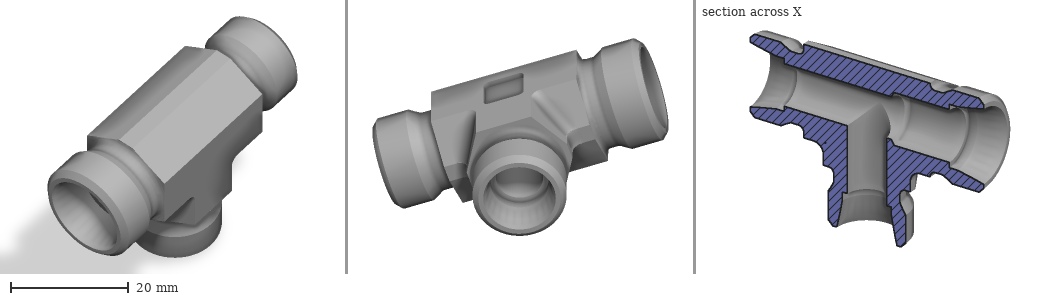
import cadquery as cq
import math

BODY_WIDTH = 17.0
BODY_HEIGHT = 17.9
HEX_ANGLE = 30
BODY_REACH = 13.0
CROTCH_RADIUS = 2.0

PORT_REACH = 24.0
ROOT_RADIUS = 1.0
TIP_CHAMFER = 1.0
COLLAR_LENGTH = 5.4
SHOULDER_ANGLE = 30

LARGE_COLLAR, LARGE_NECK = 18.0, 15.7
SMALL_COLLAR, SMALL_NECK = 16.0, 13.7

MOUTH_ANGLE = 12
SOCKET_DEPTH = 7.0
LARGE_MOUTH, LARGE_TUBE, LARGE_BORE = 14.3, 12.0, 10.0
SMALL_MOUTH, SMALL_TUBE, SMALL_BORE = 12.3, 10.0, 8.0
BORE_WALL_GAP = 1.0
DRILL_SLOPE = 31

RECESS_SIZE = 7.2
RECESS_CORNER = 1.0
RECESS_DEPTH = 1.0
RECESS_Z = -1.0


def hexagon_bar(start, length):
    """Truncated hexagonal bar along Z, flats facing X and truncated corners facing Y."""
    half_width = BODY_WIDTH / 2
    half_height = BODY_HEIGHT / 2
    slope = math.tan(math.radians(HEX_ANGLE))
    side_corner = half_width * slope
    top_corner = (2 * side_corner - half_height) / slope
    outline = [
        (half_width, side_corner),
        (top_corner, half_height),
        (-top_corner, half_height),
        (-half_width, side_corner),
        (-half_width, -side_corner),
        (-top_corner, -half_height),
        (top_corner, -half_height),
        (half_width, -side_corner),
    ]
    return cq.Workplane("XY").workplane(offset=start).polyline(outline).close().extrude(length)


def toward_front(shape):
    """Turn a shape built along +Z so that it points along -Y."""
    return shape.rotate((0, 0, 0), (1, 0, 0), 90)


def toward_back(shape):
    """Turn a shape built along +Z so that it points along +Y."""
    return shape.rotate((0, 0, 0), (1, 0, 0), -90)


def downward(shape):
    """Turn a shape built along +Z so that it points along -Z."""
    return shape.rotate((0, 0, 0), (1, 0, 0), 180)


def revolved(outline):
    """Revolve an XZ outline of (radius, height) about the Z axis."""
    return outline.close().revolve(360, (0, 0, 0), (0, 1, 0))


def threaded_end(collar_diameter, neck_diameter):
    """Solid end along +Z: neck with blended root, conical shoulder, collar and chamfered tip."""
    collar = collar_diameter / 2
    neck = neck_diameter / 2
    slope = math.radians(SHOULDER_ANGLE)
    collar_start = PORT_REACH - TIP_CHAMFER - COLLAR_LENGTH
    shoulder_start = collar_start - (collar - neck) / math.tan(slope)
    tangent = ROOT_RADIUS * math.tan(slope / 2)
    blend_start = shoulder_start - tangent

    def blend_point(angle):
        return (
            neck + ROOT_RADIUS * (1 - math.cos(angle)),
            blend_start + ROOT_RADIUS * math.sin(angle),
        )

    spigot = revolved(
        cq.Workplane("XZ")
        .moveTo(0, 0)
        .lineTo(neck, 0)
        .lineTo(neck, blend_start)
        .threePointArc(blend_point(slope / 2), blend_point(slope))
        .lineTo(collar, collar_start)
        .lineTo(collar, PORT_REACH - TIP_CHAMFER)
        .lineTo(collar - TIP_CHAMFER, PORT_REACH)
        .lineTo(0, PORT_REACH)
    )

    root_mid = ROOT_RADIUS * (1 - math.cos(math.radians(45)))
    root = revolved(
        cq.Workplane("XZ")
        .moveTo(0, BODY_REACH)
        .lineTo(neck + ROOT_RADIUS, BODY_REACH)
        .threePointArc((neck + root_mid, BODY_REACH + root_mid), (neck, BODY_REACH + ROOT_RADIUS))
        .lineTo(0, BODY_REACH + ROOT_RADIUS)
    )
    return spigot.union(root.intersect(hexagon_bar(BODY_REACH, ROOT_RADIUS)))


def tube_socket(mouth_diameter, tube_diameter, bore_diameter, bore_start, drill_point=0):
    """Cavity along +Z, from bore_start out to the tip; the bore may end in a drill point."""
    mouth = mouth_diameter / 2
    tube = tube_diameter / 2
    bore = bore_diameter / 2
    taper_length = (mouth - tube) / math.tan(math.radians(MOUTH_ANGLE))
    return revolved(
        cq.Workplane("XZ")
        .moveTo(0, bore_start - drill_point)
        .lineTo(bore, bore_start)
        .lineTo(bore, PORT_REACH - SOCKET_DEPTH)
        .lineTo(tube, PORT_REACH - SOCKET_DEPTH)
        .lineTo(tube, PORT_REACH - taper_length)
        .lineTo(mouth, PORT_REACH)
        .lineTo(0, PORT_REACH)
    )


def tee_body():
    """Horizontal bar along Y joined to the downward branch, with blended inner corners."""
    bar = toward_front(hexagon_bar(-BODY_REACH, 2 * BODY_REACH))
    branch = hexagon_bar(-BODY_REACH, BODY_REACH)
    body = bar.union(branch)

    margin = CROTCH_RADIUS / 4
    box_x = BODY_WIDTH / 2 - margin
    inner = BODY_HEIGHT / 3
    outer = BODY_HEIGHT / 2 + margin
    for side in (-1, 1):
        crotch = cq.selectors.BoxSelector((-box_x, side * inner, -outer), (box_x, side * outer, -inner))
        body = body.edges(crotch).fillet(CROTCH_RADIUS)
    return body


def side_recess():
    """Rounded square cutter sunk into the -X flat."""
    return (
        cq.Workplane("XY")
        .box(2 * RECESS_DEPTH, RECESS_SIZE, RECESS_SIZE)
        .edges("|X")
        .fillet(RECESS_CORNER)
        .translate((-BODY_WIDTH / 2, 0, RECESS_Z))
    )


outside = (
    tee_body()
    .union(toward_front(threaded_end(LARGE_COLLAR, LARGE_NECK)))
    .union(toward_back(threaded_end(SMALL_COLLAR, SMALL_NECK)))
    .union(downward(threaded_end(SMALL_COLLAR, SMALL_NECK)))
)

drill_slope = math.tan(math.radians(DRILL_SLOPE))
drill_point = LARGE_BORE / 2 * drill_slope
narrowing = (LARGE_BORE - SMALL_BORE) / 2 * drill_slope
large_bore_start = SMALL_BORE / 2 + BORE_WALL_GAP + narrowing

large_socket = tube_socket(LARGE_MOUTH, LARGE_TUBE, LARGE_BORE, large_bore_start, drill_point)
back_socket = tube_socket(SMALL_MOUTH, SMALL_TUBE, SMALL_BORE, -large_bore_start)
branch_socket = tube_socket(SMALL_MOUTH, SMALL_TUBE, SMALL_BORE, 0)

result = (
    outside.cut(toward_front(large_socket))
    .cut(toward_back(back_socket))
    .cut(downward(branch_socket))
    .cut(side_recess())
)